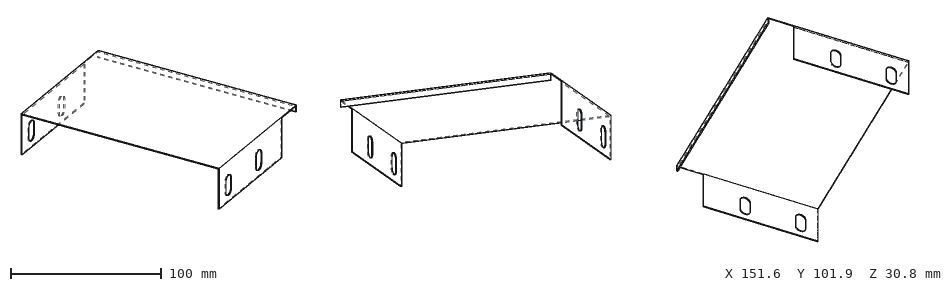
import cadquery as cq

length = 151.6
depth = 101.9
height = 30.8
sheet = 0.8

flange_depth = 83.0
lip_height = 5.0

slot_width = 7.3
slot_height = 15.2
slot_spacing = 40.0
first_slot_from_front = 12.6
slot_center_height = 12.3


def corner_box(x_size, y_size, z_size, corner):
    """Box growing in +X, +Y and +Z from its corner."""
    return cq.Workplane("XY").box(x_size, y_size, z_size, centered=False).translate(corner)


top_plate = corner_box(length, depth, sheet, (0, 0, height - sheet))

back_lip = corner_box(length, sheet, lip_height, (0, depth - sheet, height - lip_height))

left_flange = corner_box(sheet, flange_depth, height, (0, 0, 0))
right_flange = corner_box(sheet, flange_depth, height, (length - sheet, 0, 0))

slot_centers = [(first_slot_from_front + i * slot_spacing, slot_center_height) for i in range(2)]
slots = (
    cq.Workplane("YZ")
    .pushPoints(slot_centers)
    .slot2D(slot_height, slot_width, angle=90)
    .extrude(length)
)

result = top_plate.union(back_lip).union(left_flange).union(right_flange).cut(slots)